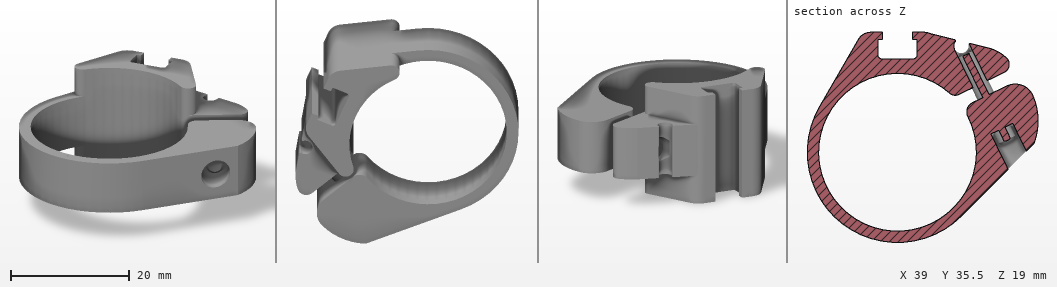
import cadquery as cq
import math

BORE_R = 13.27
RING_R = 15.25
CLAMP_HEIGHT = 9.1
RAIL_HEIGHT = 19.0
RAIL_TOP_Y = 20.3

FLANK_ANGLE = 30.0
EAR_R = 1.35
RAIL_CORNER_R = 2.5
SLOT_MOUTH_WIDTH = 5.0
SLOT_WIDTH = 6.48
SLOT_DEPTH = 4.5
LIP_THICKNESS = 1.33
LIP_ROUND_R = 0.2
SLOT_FLOOR_R = 0.5

GAP_ANGLE = 26.0
GAP_WIDTH = 2.2

JAW_START = (5.78, 20.0)
JAW_SLOPE_END = (15.75, 17.52)
JAW_CURVE_MID = (17.17, 16.85)
JAW_TIP_CENTER = (17.35, 14.85)
JAW_ROOT = (4.3, 17.95)
NOTCH_R = 1.25
NOTCH_OFFSET = 11.4
NOTCH_ROUND_R = 0.2

ARM_CORNER_X = 23.05
ARM_SIDE_R = 10.93
ARM_SIDE_MAX_X = 23.75
ARM_SIDE_MID_Y = 5.2
ARM_NOSE_R = 1.75
ARM_SHOULDER_R = 3.28

SCREW_ALONG_GAP = 17.55
SCREW_DIAMETER = 3.1
SCREW_TOP = 9.75
SCREW_END = -6.65
SCREW_CHAMFER = 0.4
CLEARANCE_WIDTH = 3.0
CLEARANCE_LENGTH = 4.3
COUNTERBORE_DIAMETER = 4.9
COUNTERBORE_FLOOR = -4.18
COUNTERBORE_CUT = 11.7


def polar(radius, angle):
    """Point at a radius and an angle in degrees about the bore centre."""
    return radius * math.cos(math.radians(angle)), radius * math.sin(math.radians(angle))


def shift(point, distance, angle):
    """Move a point by a distance in a direction in degrees."""
    dx, dy = polar(distance, angle)
    return point[0] + dx, point[1] + dy


def in_gap_frame(along, offset):
    """Point from distances along the gap faces and square to them."""
    return shift(polar(along, GAP_ANGLE), offset, GAP_ANGLE + 90)


def mirror_x(point):
    return -point[0], point[1]


def flank_x(y):
    """X of the right flank, a line tangent to the ring, at a given Y."""
    angle = math.radians(FLANK_ANGLE)
    return (RING_R - y * math.sin(angle)) / math.cos(angle)


def extrude_centred(outline, height):
    return outline.extrude(height / 2, both=True)


ear_angle = FLANK_ANGLE + math.degrees(math.acos((RING_R - EAR_R) / (BORE_R + EAR_R)))
ear_center = polar(BORE_R + EAR_R, ear_angle)
ear_at_bore = polar(BORE_R, ear_angle)
ear_at_flank = shift(ear_center, EAR_R, FLANK_ANGLE)
ear_at_gap = shift(ear_center, EAR_R, GAP_ANGLE - 90)

ear_normal = polar(1, GAP_ANGLE + 90)
upper_face = ear_center[0] * ear_normal[0] + ear_center[1] * ear_normal[1] - EAR_R
lower_face = upper_face - GAP_WIDTH


def arm_side_corner():
    """Point where the lower gap face meets the arm's outer side arc."""
    center_x = ARM_SIDE_MAX_X - ARM_SIDE_R
    angle = math.radians(GAP_ANGLE)
    along = center_x * math.cos(angle) + ARM_SIDE_MID_Y * math.sin(angle)
    offset = ARM_SIDE_MID_Y * math.cos(angle) - center_x * math.sin(angle)
    reach = math.sqrt(ARM_SIDE_R**2 - (lower_face - offset) ** 2)
    return in_gap_frame(along + reach, lower_face)


def make_ring():
    """Open ring from the left ear of the rail round to the free arm."""
    nose = in_gap_frame(math.sqrt(BORE_R**2 - lower_face**2), lower_face)
    shoulder = arm_side_corner()
    arm_corner = (ARM_CORNER_X, ARM_CORNER_X - RING_R * math.sqrt(2))
    outline = (
        cq.Workplane("XY")
        .moveTo(*polar(RING_R, 180 - FLANK_ANGLE))
        .threePointArc(polar(RING_R, -135), polar(RING_R, -45))
        .lineTo(*arm_corner)
        .threePointArc((ARM_SIDE_MAX_X, ARM_SIDE_MID_Y), shoulder)
        .lineTo(*nose)
        .threePointArc(polar(BORE_R, -150), mirror_x(ear_at_bore))
        .lineTo(*mirror_x(ear_center))
        .lineTo(*mirror_x(ear_at_flank))
        .close()
    )
    ring = extrude_centred(outline, CLAMP_HEIGHT)
    for corner, radius in ((nose, ARM_NOSE_R), (shoulder, ARM_SHOULDER_R)):
        ring = ring.edges(cq.selectors.NearestToPointSelector((*corner, 0))).fillet(radius)
    return ring


def make_jaw():
    """Jaw rooted in the right ear of the rail, with the barrel notch in its back."""
    angle = math.radians(GAP_ANGLE)
    tip_offset = JAW_TIP_CENTER[1] * math.cos(angle) - JAW_TIP_CENTER[0] * math.sin(angle)
    tip_r = tip_offset - upper_face
    outline = (
        cq.Workplane("XY")
        .moveTo(*ear_center)
        .lineTo(*ear_at_gap)
        .lineTo(*shift(JAW_TIP_CENTER, tip_r, GAP_ANGLE - 90))
        .threePointArc(shift(JAW_TIP_CENTER, tip_r, 0), shift(JAW_TIP_CENTER, tip_r, 45))
        .threePointArc(JAW_CURVE_MID, JAW_SLOPE_END)
        .lineTo(*JAW_START)
        .lineTo(*JAW_ROOT)
        .close()
    )
    jaw = extrude_centred(outline, CLAMP_HEIGHT)

    notch_center = in_gap_frame(SCREW_ALONG_GAP, NOTCH_OFFSET)
    notch = extrude_centred(cq.Workplane("XY").center(*notch_center).circle(NOTCH_R), CLAMP_HEIGHT)
    jaw = jaw.cut(notch)

    for side in (-NOTCH_R, NOTCH_R):
        lip = (notch_center[0] + side, notch_center[1] + NOTCH_R, 0)
        jaw = jaw.edges("|Z").edges(cq.selectors.NearestToPointSelector(lip)).fillet(NOTCH_ROUND_R)
    return jaw


def make_rail():
    """Symmetric saddle block on the bore, with rounded ears and top corners."""
    top_corner = (flank_x(RAIL_TOP_Y), RAIL_TOP_Y)
    ear_tip = shift(ear_center, EAR_R, -45)
    outline = (
        cq.Workplane("XY")
        .moveTo(*mirror_x(top_corner))
        .lineTo(*top_corner)
        .lineTo(*ear_at_flank)
        .threePointArc(ear_tip, ear_at_bore)
        .threePointArc((0, BORE_R), mirror_x(ear_at_bore))
        .threePointArc(mirror_x(ear_tip), mirror_x(ear_at_flank))
        .close()
    )
    return extrude_centred(outline, RAIL_HEIGHT).edges("|Z and >Y").fillet(RAIL_CORNER_R)


def make_t_slot():
    """Cutter for the T-slot, running the full height of the rail block."""
    lip_y = RAIL_TOP_Y - LIP_THICKNESS
    floor_y = RAIL_TOP_Y - SLOT_DEPTH
    channel = cq.Workplane("XY").center(0, (lip_y + floor_y) / 2).rect(SLOT_WIDTH, lip_y - floor_y)
    channel = extrude_centred(channel, RAIL_HEIGHT).edges("|Z and <Y").fillet(SLOT_FLOOR_R)
    mouth_center_y = (RAIL_TOP_Y + lip_y) / 2
    mouth = cq.Workplane("XY").center(0, mouth_center_y).rect(SLOT_MOUTH_WIDTH, LIP_THICKNESS)
    slot = channel.union(extrude_centred(mouth, RAIL_HEIGHT))
    for side in (-1, 1):
        lip = (side * SLOT_MOUTH_WIDTH / 2, lip_y, 0)
        slot = slot.edges("|Z").edges(cq.selectors.NearestToPointSelector(lip)).fillet(LIP_ROUND_R)
    return slot


def screw_plane(offset):
    """Plane square to the screw; local X follows the gap, local Y is -Z."""
    origin = (*in_gap_frame(SCREW_ALONG_GAP, offset), 0)
    return cq.Workplane(cq.Plane(origin, xDir=(*polar(1, GAP_ANGLE), 0), normal=(*ear_normal, 0)))


counterbore = screw_plane(COUNTERBORE_FLOOR).circle(COUNTERBORE_DIAMETER / 2).extrude(-COUNTERBORE_CUT)
clearance = (
    screw_plane(upper_face)
    .slot2D(CLEARANCE_LENGTH, CLEARANCE_WIDTH, 90)
    .extrude(NOTCH_OFFSET - upper_face)
)
screw = (
    screw_plane(SCREW_END)
    .circle(SCREW_DIAMETER / 2)
    .extrude(SCREW_TOP - SCREW_END)
    .faces(cq.selectors.NearestToPointSelector((*in_gap_frame(SCREW_ALONG_GAP, SCREW_END), 0)))
    .edges()
    .chamfer(SCREW_CHAMFER)
)

result = make_rail().union(make_jaw()).cut(make_t_slot()).union(make_ring(), clean=False)
result = result.cut(counterbore, clean=False).cut(clearance, clean=False).union(screw, clean=False)